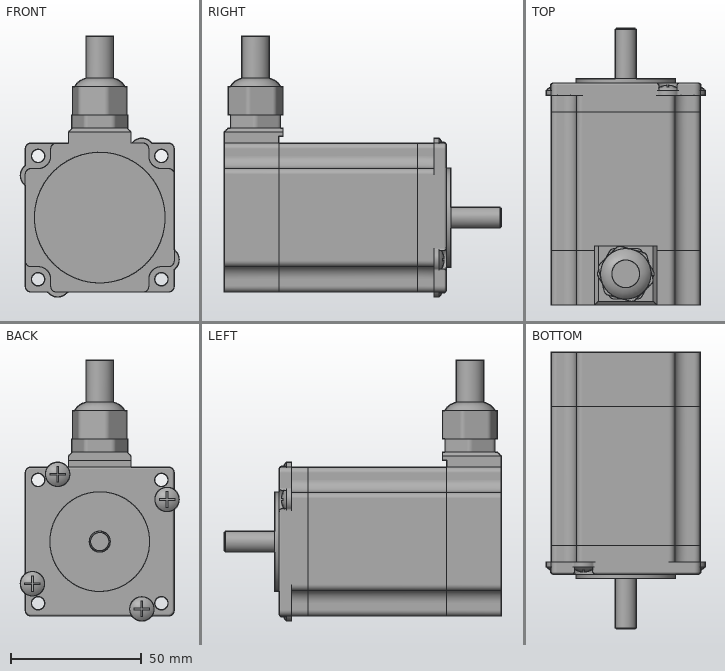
import cadquery as cq
import math


body_width = 57.0
outer_corner_radius = 2.2
corner_wall_offset = 18.7
relief_inner_radius = 4.8

rear_cap_length = 20.9
stator_end = 73.9
flange_front = 84.9
flange_thickness = 4.8
flange_edge_radius = 0.8
pilot_height = 1.7
shaft_tip = 105.9

pilot_diameter = 38.1
shaft_diameter = 8.0
shaft_chamfer = 0.5
mount_hole_spacing = 47.1
mount_hole_diameter = 5.0

screw_x = 16.1
screw_z = 25.7
screw_radius = 4.7
lug_blend_radius = 1.1
lug_height = 1.9
screw_dome_height = 2.0
screw_slot_width = 0.6
screw_slot_depth = 0.7

rear_recess_diameter = 50.0
rear_recess_depth = 0.3
box_width = 23.9
box_length = 22.6
box_height = 5.7
box_chamfer = 1.5
box_overhang_thickness = 3.2

gland_y = 12.0
hex_across_flats = 19.3
hex_corner_radius = 2.1
gland_base_height = 5.1
nut_height = 10.8
nut_angle = 15.0
dome_height = 3.2
dome_arc_radius = 6.4
cable_diameter = 10.6
cable_length = 16.1

half_width = body_width / 2
flange_back = flange_front - flange_thickness
pilot_front = flange_front + pilot_height
box_top = half_width + box_height


def section_plane(y):
    """Work plane across the motor axis, with local axes X and Z."""
    return cq.Workplane("XZ", origin=(0, y, 0))


def cylinder_y(diameter, start, end):
    """Cylinder on the motor axis from start to end along Y."""
    return section_plane(start).circle(diameter / 2).extrude(start - end)


def motor_section(start, end):
    """Length of the motor body: a square bar with a rounded relief along each corner."""
    wall = corner_wall_offset
    lip = wall - outer_corner_radius
    rim = half_width - outer_corner_radius
    root = wall + relief_inner_radius
    lip_bulge = lip + outer_corner_radius * math.sqrt(0.5)
    rim_bulge = rim + outer_corner_radius * math.sqrt(0.5)
    root_bulge = root - relief_inner_radius * math.sqrt(0.5)

    def turned(x, z, quarter):
        for _ in range(quarter):
            x, z = -z, x
        return x, z

    outline = section_plane(start).moveTo(half_width, -lip)
    for quarter in range(4):
        outline = (
            outline.lineTo(*turned(half_width, lip, quarter))
            .threePointArc(turned(rim_bulge, lip_bulge, quarter), turned(rim, wall, quarter))
            .lineTo(*turned(root, wall, quarter))
            .threePointArc(turned(root_bulge, root_bulge, quarter), turned(wall, root, quarter))
            .lineTo(*turned(wall, rim, quarter))
            .threePointArc(turned(lip_bulge, rim_bulge, quarter), turned(lip, half_width, quarter))
        )
    return outline.close().extrude(start - end)


def screw_cylinder(start, end):
    """Cylinder on the axis of the upper screw, from start to end along Y."""
    return section_plane(start).center(screw_x, screw_z).circle(screw_radius).extrude(start - end)


def around_axis(shape):
    """Four copies of a shape, a quarter turn apart around the motor axis."""
    return [shape.rotate((0, 0, 0), (0, 1, 0), 90 * quarter) for quarter in range(4)]


def flange():
    """Square mounting flange with blended screw lugs, a rounded front edge and mounting holes."""
    plate = section_plane(flange_back).rect(body_width, body_width).extrude(-flange_thickness)
    plate = plate.edges("|Y").fillet(outer_corner_radius)

    lug = screw_cylinder(flange_back, flange_front)
    for copy in around_axis(lug):
        plate = plate.union(copy)
    half_chord = math.sqrt(screw_radius**2 - (half_width - screw_z) ** 2)
    lug_roots = []
    for root_x in (screw_x - half_chord, screw_x + half_chord):
        root = cq.Vertex.makeVertex(root_x, (flange_back + flange_front) / 2, half_width)
        for copy in around_axis(root):
            lug_roots += plate.edges(cq.NearestToPointSelector(copy.toTuple())).vals()
    plate = plate.newObject(lug_roots).fillet(lug_blend_radius)
    plate = plate.faces(">Y").edges().fillet(flange_edge_radius)

    holes = (
        section_plane(flange_back)
        .rect(mount_hole_spacing, mount_hole_spacing, forConstruction=True)
        .vertices()
        .circle(mount_hole_diameter / 2)
        .extrude(-flange_thickness)
    )
    return plate.cut(holes)


def screw_dome():
    """Domed top of a screw head with a cross slot, standing on the XY plane."""
    sphere_radius = (screw_radius**2 + screw_dome_height**2) / (2 * screw_dome_height)
    dome = (
        cq.Workplane("XZ")
        .lineTo(screw_radius, 0)
        .radiusArc((0, screw_dome_height), -sphere_radius)
        .close()
        .revolve(360, (0, 0, 0), (0, 1, 0))
    )
    slot_plane = cq.Workplane("XY", origin=(0, 0, screw_dome_height - screw_slot_depth))
    for slot_size in ((2 * screw_radius, screw_slot_width), (screw_slot_width, 2 * screw_radius)):
        dome = dome.cut(slot_plane.rect(*slot_size).extrude(screw_slot_depth))
    return dome


def build_front_cap():
    """Flange end of the motor with its pilot, screw heads and shaft."""
    cap = motor_section(stator_end, flange_front - flange_edge_radius).union(flange())

    pocket_floor = flange_back + lug_height
    pocket = screw_cylinder(pocket_floor, flange_front)
    dome = screw_dome().rotate((0, 0, 0), (1, 0, 0), -90).translate((screw_x, pocket_floor, screw_z))
    for pocket_copy, dome_copy in zip(around_axis(pocket), around_axis(dome)):
        cap = cap.cut(pocket_copy).union(dome_copy)

    pilot = cylinder_y(pilot_diameter, flange_back, pilot_front)
    shaft = cylinder_y(shaft_diameter, flange_back, shaft_tip).faces(">Y").chamfer(shaft_chamfer)
    return cap.union(pilot).union(shaft)


def build_stator():
    """Plain middle length of the motor."""
    return motor_section(rear_cap_length, stator_end)


def terminal_box():
    """Raised block for the gland; its forward end overhangs the stator."""
    overhang = box_length - rear_cap_length
    block = (
        cq.Workplane("XY")
        .box(box_width, box_length, box_height, centered=(True, False, False))
        .translate((0, 0, half_width))
    )
    block = block.faces(">Z").edges("<Y or <X or >X").chamfer(box_chamfer)
    undercut = (
        cq.Workplane("XY")
        .box(box_width, overhang, box_height - box_overhang_thickness, centered=(True, False, False))
        .translate((0, rear_cap_length, half_width))
    )
    return block.cut(undercut)


def build_rear_cap():
    """Closed end of the motor with a shallow round recess and the terminal box."""
    cap = motor_section(0, rear_cap_length).union(terminal_box())
    return cap.cut(cylinder_y(rear_recess_diameter, 0, rear_recess_depth))


def rounded_hex(base_z, height):
    """Hexagonal prism on the gland axis, with corners pointing along X."""
    across_corners = hex_across_flats / math.cos(math.radians(30))
    prism = cq.Workplane("XY").polygon(6, across_corners).extrude(height)
    return prism.edges("|Z").fillet(hex_corner_radius).translate((0, gland_y, base_z))


def build_gland():
    """Cable gland with its hexagonal base, turned nut, domed end and cable."""
    nut_z = box_top + gland_base_height
    dome_z = nut_z + nut_height
    base = rounded_hex(box_top, gland_base_height)
    nut = rounded_hex(nut_z, nut_height)
    nut = nut.rotate((0, gland_y, 0), (0, gland_y, 1), -nut_angle)
    dome_and_cable = (
        cq.Workplane("XZ")
        .lineTo(hex_across_flats / 2, 0)
        .radiusArc((cable_diameter / 2, dome_height), -dome_arc_radius)
        .lineTo(cable_diameter / 2, dome_height + cable_length)
        .lineTo(0, dome_height + cable_length)
        .close()
        .revolve(360, (0, 0, 0), (0, 1, 0))
        .translate((0, gland_y, dome_z))
    )
    return base.union(nut).union(dome_and_cable)


front_cap = build_front_cap()
stator = build_stator()
rear_cap = build_rear_cap()
gland = build_gland()

bodies = [front_cap, stator, rear_cap, gland]
result = cq.Compound.makeCompound([body.solids().val() for body in bodies])